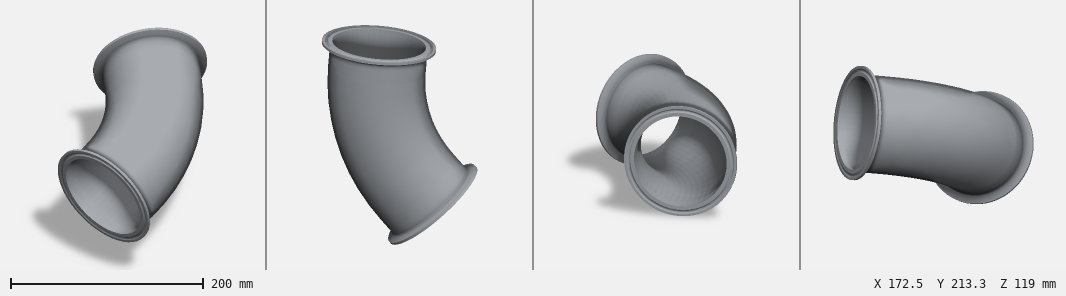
import cadquery as cq
import math

bend_angle = 45.0
overall_length = 213.3
straight_length = 27.0
tube_diameter = 101.5
bore_diameter = 97.7

flange_diameter = 119.0
rim_thickness = 2.8
cone_angle = 20.0
cone_root_fillet = 2.0

groove_inner_radius = 53.1
groove_outer_radius = 56.5
groove_depth = 1.3
groove_edge_fillet = 0.9

tube_radius = tube_diameter / 2
bore_radius = bore_diameter / 2
flange_radius = flange_diameter / 2

bend_sine = math.sin(math.radians(bend_angle))
bend_cosine = math.cos(math.radians(bend_angle))
straight_reach = straight_length * (1 + bend_cosine)
flange_reach = flange_radius * bend_sine
bend_radius = (overall_length - straight_reach - flange_reach) / bend_sine


def make_ferrule():
    """Straight tube end with a clamp flange: face at Y = 0, axis along +Y."""
    cone_height = (flange_radius - tube_radius) * math.tan(math.radians(cone_angle))
    cone_top = rim_thickness + cone_height
    body = (
        cq.Workplane("XY")
        .moveTo(bore_radius, 0)
        .lineTo(flange_radius, 0)
        .lineTo(flange_radius, rim_thickness)
        .lineTo(tube_radius, cone_top)
        .lineTo(tube_radius, straight_length)
        .lineTo(bore_radius, straight_length)
        .close()
        .revolve(360, (0, 0, 0), (0, 1, 0))
    )
    body = body.edges("%CIRCLE").edges(">>Y[2]").fillet(cone_root_fillet)
    body = body.cut(make_groove())
    face_circles = body.edges("%CIRCLE").edges("<Y")
    inner_edge = face_circles.edges(cq.selectors.RadiusNthSelector(1))
    outer_edge = face_circles.edges(cq.selectors.RadiusNthSelector(2))
    return inner_edge.add(outer_edge).fillet(groove_edge_fillet)


def make_groove():
    """Ring with a circular-arc section, sunk into the flange face."""
    middle_radius = (groove_inner_radius + groove_outer_radius) / 2
    return (
        cq.Workplane("XY")
        .moveTo(groove_inner_radius, 0)
        .threePointArc((middle_radius, groove_depth), (groove_outer_radius, 0))
        .close()
        .revolve(360, (0, 0, 0), (0, 1, 0))
    )


def make_bend():
    """Curved tube that starts at the top of the first ferrule and turns toward -X."""
    return (
        cq.Workplane("XZ", origin=(0, straight_length, 0))
        .circle(tube_radius)
        .circle(bore_radius)
        .revolve(bend_angle, (-bend_radius, 0, 0), (-bend_radius, 1, 0))
    )


def to_far_end(ferrule):
    """Mirror the first ferrule across the plane that halves the bend."""
    turned_over = ferrule.mirror("XZ", (0, straight_length, 0))
    axis_start = (-bend_radius, straight_length, 0)
    axis_end = (-bend_radius, straight_length, 1)
    return turned_over.rotate(axis_start, axis_end, bend_angle)


near_ferrule = make_ferrule()
result = make_bend().union(near_ferrule).union(to_far_end(near_ferrule))